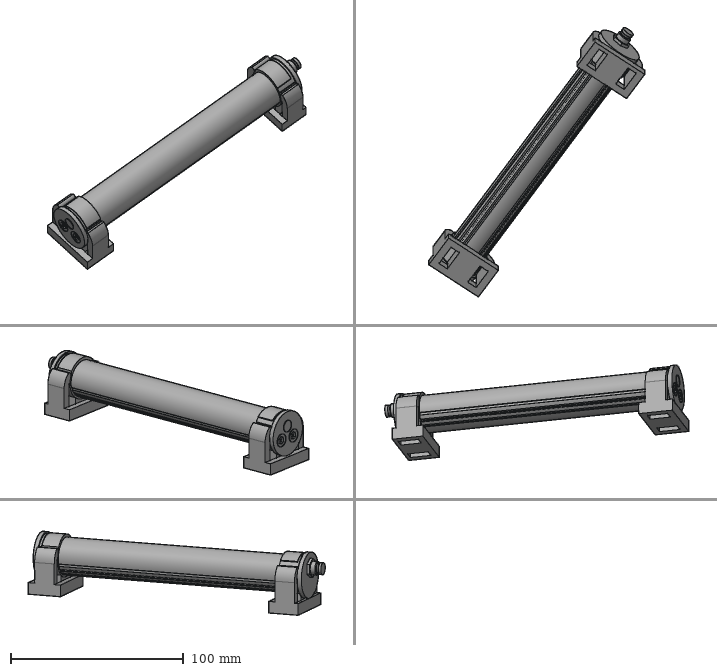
import cadquery as cq
import math


base_width = 35.0
base_height = 6.9
axis_height = 20.5
arm_length = 12.2
inner_foot = 3.9
front_outer_foot = 4.0
rear_outer_foot = 2.3
arm_top = 27.5
arm_round_start = 19.1
arm_round_radius = 10.5
lip_edge_x = 11.2
lip_round_radius = 2.1
channel_half_width = 13.1
cradle_half_width = 7.3

disc_radius = 13.5
disc_length = 2.7
sleeve_radius = 12.2
crown_radius = 12.5
crown_half_width = 10.6
pad_radius = 13.0
pad_gap = 1.6
pad_short_side = 8.9
port_radius = 3.5
port_height = 25.0
port_depth = 0.4
screw_offset = 5.5
screw_height = 17.7
screw_bore_radius = 3.9
screw_bore_depth = 0.4
screw_socket_radius = 2.1
screw_socket_depth = 1.0
screw_pin_radius = 0.7

tube_radius = 11.2
core_radius = 11.0
shell_bottom = 17.7
tube_grooves = [
    (16.3, 17.7, 10.0),
    (13.1, 14.2, 7.0),
    (11.0, 11.5, 4.5),
]

nut_corner_radius = 5.7
nut_length = 1.8
barrel_radius = 4.0
barrel_length = 3.4
barrel_chamfer = 0.5
neck_radius = 3.0
neck_length = 1.2
collar_radius = 3.5
total_length = 177.0

front_arm_start = front_outer_foot
front_arm_end = front_arm_start + arm_length
front_disc_start = front_arm_start - disc_length
rear_arm_start = 154.0
rear_arm_end = rear_arm_start + arm_length
rear_disc_end = rear_arm_end + disc_length


def slab(width, y_start, y_end, z_start, z_end):
    """Box centred on x = 0 between the given Y and Z limits."""
    return cq.Workplane("XY").box(
        width, y_end - y_start, z_end - z_start, centered=(True, False, False)
    ).translate((0, y_start, z_start))


def cylinder(radius, y_start, y_end, x=0, z=axis_height):
    """Cylinder along Y."""
    return cq.Workplane("XZ", origin=(x, y_start, z)).circle(radius).extrude(y_start - y_end)


def clip_arm(y_start):
    """Right-hand arm: rounded outside, with a rounded lip that leans over the sleeve."""
    outer_x = base_width / 2
    round_centre_x = outer_x - arm_round_radius

    def round_point(height):
        rise = height - arm_round_start
        return (round_centre_x + math.sqrt(arm_round_radius**2 - rise**2), height)

    crest = round_point(arm_top)
    lip_height = axis_height + math.sqrt(sleeve_radius**2 - lip_edge_x**2)
    return (
        cq.Workplane("XZ", origin=(0, y_start, 0))
        .moveTo(channel_half_width, base_height)
        .lineTo(outer_x, base_height)
        .lineTo(outer_x, arm_round_start)
        .threePointArc(round_point((arm_round_start + arm_top) / 2), crest)
        .radiusArc((lip_edge_x, lip_height), -lip_round_radius)
        .lineTo(lip_edge_x, axis_height)
        .lineTo(channel_half_width, axis_height)
        .close()
        .extrude(-arm_length)
    )


def make_clip(arm_start, foot_before, foot_after):
    """Snap clip: base, cradle under the sleeve and two gripping arms."""
    arm_end = arm_start + arm_length
    arm = clip_arm(arm_start)
    clip = (
        slab(base_width, arm_start - foot_before, arm_end + foot_after, 0, base_height)
        .union(slab(2 * cradle_half_width, arm_start, arm_end, base_height, axis_height))
        .union(arm)
        .union(arm.mirror("YZ"))
    )
    opening_width = channel_half_width - cradle_half_width
    opening_centre = (channel_half_width + cradle_half_width) / 2
    opening = slab(opening_width, arm_start, arm_end, 0, base_height)
    for side in (-1, 1):
        clip = clip.cut(opening.translate((side * opening_centre, 0, 0)))
    return clip.cut(cylinder(sleeve_radius, arm_start, arm_end))


def raised_patch(radius, y_start, y_end, x_start, x_end):
    """Upper part of a cylinder along Y, kept between two X limits."""
    zone = slab(x_end - x_start, y_start, y_end, axis_height, axis_height + radius)
    zone = zone.translate(((x_start + x_end) / 2, 0, 0))
    return cylinder(radius, y_start, y_end).intersect(zone)


def make_sleeve(y_start):
    """Sleeve with a slightly raised crown between the clip lips."""
    y_end = y_start + arm_length
    crown = raised_patch(crown_radius, y_start, y_end, -crown_half_width, crown_half_width)
    return cylinder(sleeve_radius, y_start, y_end).union(crown)


def make_tube():
    """Round shell over a slightly smaller core with grooves along both sides."""
    y_start, y_end = front_arm_end, rear_arm_start
    shell_zone = slab(2 * tube_radius, y_start, y_end, shell_bottom, axis_height + tube_radius)
    tube = cylinder(tube_radius, y_start, y_end).intersect(shell_zone)
    tube = tube.union(cylinder(core_radius, y_start, y_end))
    for z_start, z_end, half_width in tube_grooves:
        groove = slab(2 * tube_radius, y_start, y_end, z_start, z_end)
        tube = tube.cut(groove.cut(slab(2 * half_width, y_start, y_end, z_start, z_end)))
    return tube


def screw_recess(x):
    """Recessed screw head with a round socket that has a centre pin."""
    bore_floor = front_disc_start + screw_bore_depth
    socket_floor = bore_floor + screw_socket_depth
    bore = cylinder(screw_bore_radius, front_disc_start, bore_floor, x, screw_height)
    socket = cylinder(screw_socket_radius, bore_floor, socket_floor, x, screw_height)
    pin = cylinder(screw_pin_radius, bore_floor, socket_floor, x, screw_height)
    return bore.union(socket.cut(pin))


def make_lamp():
    """Tube with a padded sleeve and a disc at each end; the front disc has the recesses."""
    front_pad = raised_patch(
        pad_radius, front_arm_start + pad_gap, front_arm_end, -pad_short_side, crown_half_width
    )
    rear_pad = raised_patch(
        pad_radius, rear_arm_start, rear_arm_end - pad_gap, -crown_half_width, pad_short_side
    )
    lamp = (
        make_tube()
        .union(make_sleeve(front_arm_start))
        .union(front_pad)
        .union(cylinder(disc_radius, front_disc_start, front_arm_start))
        .union(make_sleeve(rear_arm_start))
        .union(rear_pad)
        .union(cylinder(disc_radius, rear_arm_end, rear_disc_end))
    )
    lamp = lamp.cut(cylinder(port_radius, front_disc_start, front_disc_start + port_depth, z=port_height))
    for side in (-1, 1):
        lamp = lamp.cut(screw_recess(side * screw_offset))
    return lamp


def make_connector():
    """Hexagon nut, barrel, neck and end collar on the rear disc."""
    nut_end = rear_disc_end + nut_length
    barrel_end = nut_end + barrel_length
    collar_start = barrel_end + neck_length
    nut = (
        cq.Workplane("XZ", origin=(0, rear_disc_end, port_height))
        .polygon(6, 2 * nut_corner_radius)
        .extrude(-nut_length)
        .rotate((0, 0, port_height), (0, 1, port_height), 30)
    )
    barrel = cylinder(barrel_radius, nut_end, barrel_end, z=port_height)
    barrel = barrel.faces(">Y").chamfer(barrel_chamfer)
    return (
        nut.union(barrel)
        .union(cylinder(neck_radius, barrel_end, collar_start, z=port_height))
        .union(cylinder(collar_radius, collar_start, total_length, z=port_height))
    )


front_clip = make_clip(front_arm_start, front_outer_foot, inner_foot)
rear_clip = make_clip(rear_arm_start, inner_foot, rear_outer_foot)
lamp = make_lamp()
connector = make_connector()

result = cq.Compound.makeCompound([front_clip.val(), rear_clip.val(), lamp.val(), connector.val()])